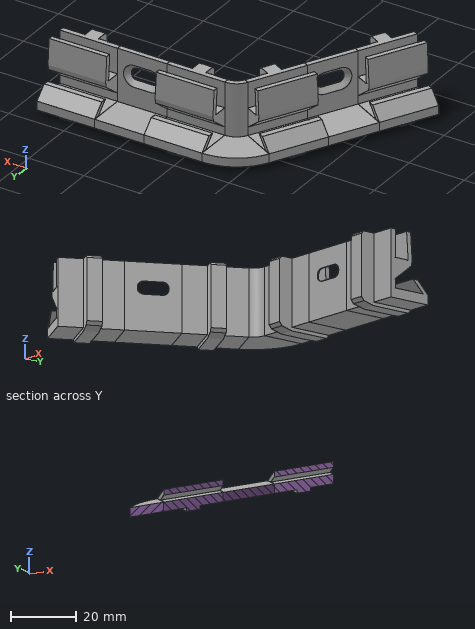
import cadquery as cq
import math


overall_length = 105.6
bend_angle = 62.2
rail_depth = 15.0
rail_height = 22.0
floor_thickness = 3.2
wall_thickness = 1.9
bend_inner_radius = 5.0
bend_outer_radius = bend_inner_radius + rail_depth
wall_depth = rail_depth - wall_thickness

bend = math.radians(bend_angle)
leg_length = (overall_length - bend_outer_radius * math.sin(bend)) / (1 + math.cos(bend))
clip_length = 21.0
plate_length = leg_length - 2 * clip_length

lip_thickness = 2.0
lip_top = 7.3
lip_reach = lip_top - floor_thickness

arm_thickness = 1.7
arm_top_depth = 7.0
arm_foot_depth = 6.3
arm_foot_height = 12.9
bracket_edge_depth = 6.7
bracket_edge_height = 11.2
bracket_root_height = 6.1

rib_width = 5.0
rib_reach = rail_depth + 5.0
rib_drop = 1.2
rib_top_chamfer = 1.0
rib_toe_chamfer = 1.1
rib_nose_height = 1.0
rib_ramp_depth = 19.0
rib_ramp_drop = 0.2

slot_length = 9.9
slot_width = 4.1
slot_height = 13.8
slot_flare = 1.8
slot_land = 0.3


def extrude_profile(points, start, length):
    """Extrude a closed (depth, height) outline along X from the given start."""
    outline = [(bend_outer_radius - depth, height) for depth, height in points]
    return cq.Workplane("YZ", origin=(start, 0, 0)).polyline(outline).close().extrude(length)


rail_profile = [
    (0, 0),
    (rail_depth, 0),
    (rail_depth, rail_height),
    (wall_depth, rail_height),
    (wall_depth, floor_thickness),
    (0, floor_thickness),
]

clip_profile = [
    (0, 0),
    (rail_depth, 0),
    (rail_depth, rail_height),
    (wall_depth, rail_height),
    (wall_depth, arm_foot_height),
    (arm_foot_depth + arm_thickness, arm_foot_height),
    (arm_top_depth + arm_thickness, rail_height),
    (arm_top_depth, rail_height),
    (arm_foot_depth, arm_foot_height),
    (bracket_edge_depth, bracket_edge_height),
    (wall_depth, bracket_root_height),
    (wall_depth, floor_thickness),
    (lip_thickness, floor_thickness),
    (lip_thickness + lip_reach, lip_top),
    (lip_reach, lip_top),
    (0, floor_thickness),
]

rib_profile = [
    (0, 0),
    (rib_toe_chamfer, -rib_drop),
    (rail_depth, -rib_drop),
    (rib_ramp_depth, -rib_ramp_drop),
    (rib_reach, rib_nose_height),
    (rib_reach, rail_height - rib_top_chamfer),
    (rib_reach - rib_top_chamfer, rail_height),
    (wall_depth, rail_height),
    (wall_depth, 0),
]


def make_elbow():
    """Rail section turned about the Z axis."""
    outline = [(bend_outer_radius - depth, height) for depth, height in rail_profile]
    ring = cq.Workplane("YZ").polyline(outline).close()
    return ring.revolve(bend_angle, (0, 0), (0, 1))


def make_clip(start):
    """Clip with a rib at the middle of its length."""
    body = extrude_profile(clip_profile, start, clip_length)
    rib_start = start + (clip_length - rib_width) / 2
    return body.union(extrude_profile(rib_profile, rib_start, rib_width))


def make_plate(start):
    """Plain rail with a slot through its wall, flared towards the outer side."""
    slot_origin = (start + plate_length / 2, bend_inner_radius, slot_height)
    back_face = cq.Workplane("XZ", origin=slot_origin)
    slot = back_face.slot2D(slot_length, slot_width).extrude(-slot_land)

    flare_depth = wall_thickness - slot_land
    flare_angle = math.degrees(math.atan(slot_flare / flare_depth))
    flare_start = back_face.workplane(offset=-slot_land)
    flare = flare_start.slot2D(slot_length, slot_width).extrude(-flare_depth, taper=-flare_angle)

    return extrude_profile(rail_profile, start, plate_length).cut(slot).cut(flare)


def turn_around_bend(body):
    """Swing a body that lies on the -X side into the line of the second leg."""
    return body.rotate((0, 0, 0), (0, 0, 1), bend_angle)


elbow = make_elbow()

inner_clip_start = 0
plate_start = clip_length
outer_clip_start = clip_length + plate_length

clips = []
for start in (inner_clip_start, outer_clip_start):
    clips.append(make_clip(start))
    clips.append(turn_around_bend(make_clip(-start - clip_length)))

plates = [
    make_plate(plate_start),
    turn_around_bend(make_plate(-plate_start - plate_length)),
]

result = cq.Compound.makeCompound([body.val() for body in [elbow, *clips, *plates]])